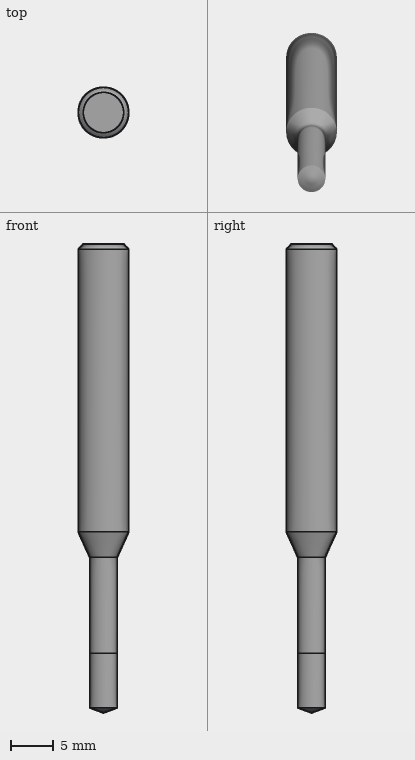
import cadquery as cq

total_length = 55.5
shank_diameter = 6.0
top_chamfer = 0.6
neck_diameter = 3.3
cutting_length = 7.1
neck_top = 18.45
taper_top = 21.45
point_height = 0.6

shank_radius = shank_diameter / 2
neck_radius = neck_diameter / 2


def revolve_profile(points):
    """Revolve a closed (radius, height) outline about the Z axis."""
    return cq.Workplane("XZ").polyline(points).close().revolve(360, (0, 0), (0, 1))


def make_cutting_tip():
    """Cylindrical cutting section that ends in a conical point."""
    return revolve_profile([
        (0, 0),
        (neck_radius, point_height),
        (neck_radius, cutting_length),
        (0, cutting_length),
    ])


def make_shank():
    """Chamfered shank that tapers down to the neck above the cutting tip."""
    return revolve_profile([
        (0, cutting_length),
        (neck_radius, cutting_length),
        (neck_radius, neck_top),
        (shank_radius, taper_top),
        (shank_radius, total_length - top_chamfer),
        (shank_radius - top_chamfer, total_length),
        (0, total_length),
    ])


cutting_tip = make_cutting_tip()
shank = make_shank()

result = cq.Compound.makeCompound([cutting_tip.val(), shank.val()])